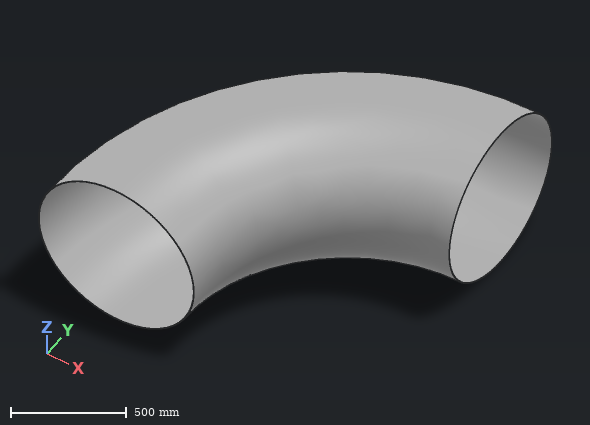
import cadquery as cq

overall_length = 1604.0
outer_diameter = 808.0
wall_thickness = 4.0
bend_angle = 90.0

outer_radius = outer_diameter / 2
inner_radius = outer_radius - wall_thickness
bend_radius = overall_length - outer_radius

pipe_ring = (
    cq.Workplane("XZ")
    .center(-bend_radius, 0)
    .circle(outer_radius)
    .circle(inner_radius)
)

result = pipe_ring.revolve(bend_angle, (bend_radius, 0), (bend_radius, -1))